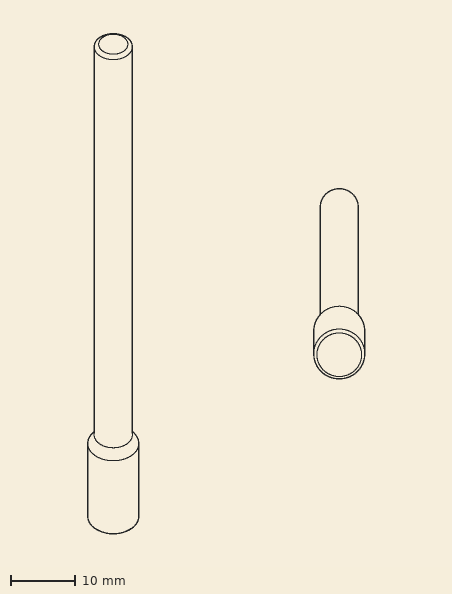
import cadquery as cq

total_length = 101.0
shaft_diameter = 6.0
sleeve_diameter = 8.0

tip_chamfer_width = 0.7
tip_chamfer_height = 0.5

shoulder_bottom = 16.1
shoulder_height = 1.8

foot_chamfer_height = 0.5
foot_chamfer_width = 0.5

shaft_radius = shaft_diameter / 2
sleeve_radius = sleeve_diameter / 2
shoulder_top = shoulder_bottom + shoulder_height
foot_radius = sleeve_radius - foot_chamfer_width


def make_shaft():
    """Round rod with a chamfered tip, standing on top of the sleeve."""
    tip_radius = shaft_radius - tip_chamfer_width
    return (
        cq.Workplane("XZ")
        .moveTo(0, shoulder_top)
        .lineTo(shaft_radius, shoulder_top)
        .lineTo(shaft_radius, total_length - tip_chamfer_height)
        .lineTo(tip_radius, total_length)
        .lineTo(0, total_length)
        .close()
        .revolve(360, (0, 0, 0), (0, 1, 0))
    )


def make_sleeve():
    """Thick cylinder with a conical shoulder on top and a chamfered foot."""
    return (
        cq.Workplane("XZ")
        .moveTo(0, 0)
        .lineTo(foot_radius, 0)
        .lineTo(sleeve_radius, foot_chamfer_height)
        .lineTo(sleeve_radius, shoulder_bottom)
        .lineTo(shaft_radius, shoulder_top)
        .lineTo(0, shoulder_top)
        .close()
        .revolve(360, (0, 0, 0), (0, 1, 0))
    )


shaft = make_shaft()
sleeve = make_sleeve()

result = cq.Compound.makeCompound([shaft.val(), sleeve.val()])